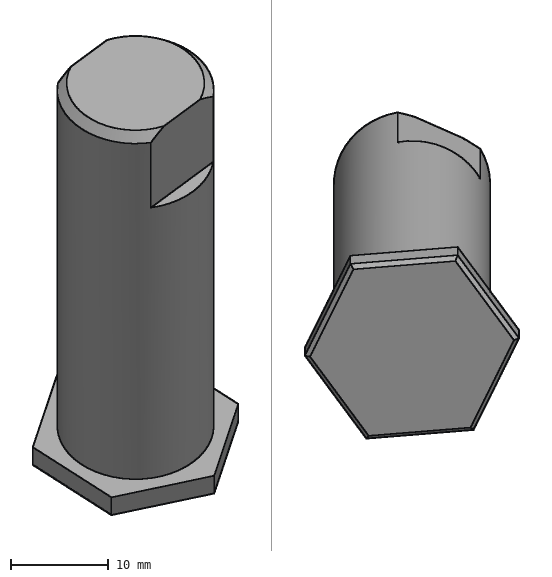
import cadquery as cq
import math

head_across_flats = 19.0
head_across_corners = head_across_flats / math.cos(math.radians(30))
head_height = 2.95
head_chamfer = 0.45

total_height = 51
shaft_diameter = 16.0
tip_chamfer = 0.95

flats_width = 13.0
flats_height = 10.1


def make_head():
    head = cq.Workplane("XY").polygon(6, head_across_corners).extrude(head_height)
    return head.faces("<Z").chamfer(head_chamfer)


def make_shaft():
    shaft = cq.Workplane("XY").circle(shaft_diameter / 2).extrude(total_height)
    return shaft.faces(">Z").chamfer(tip_chamfer)


def make_flat_cutter(side):
    """Block removed beside one flat; side is +1 for +X and -1 for -X."""
    block_size = shaft_diameter
    return (
        cq.Workplane("XY")
        .box(block_size, block_size, flats_height)
        .translate((side * (flats_width + block_size) / 2, 0, total_height - flats_height / 2))
    )


result = make_head().union(make_shaft())
for side in (-1, 1):
    result = result.cut(make_flat_cutter(side))